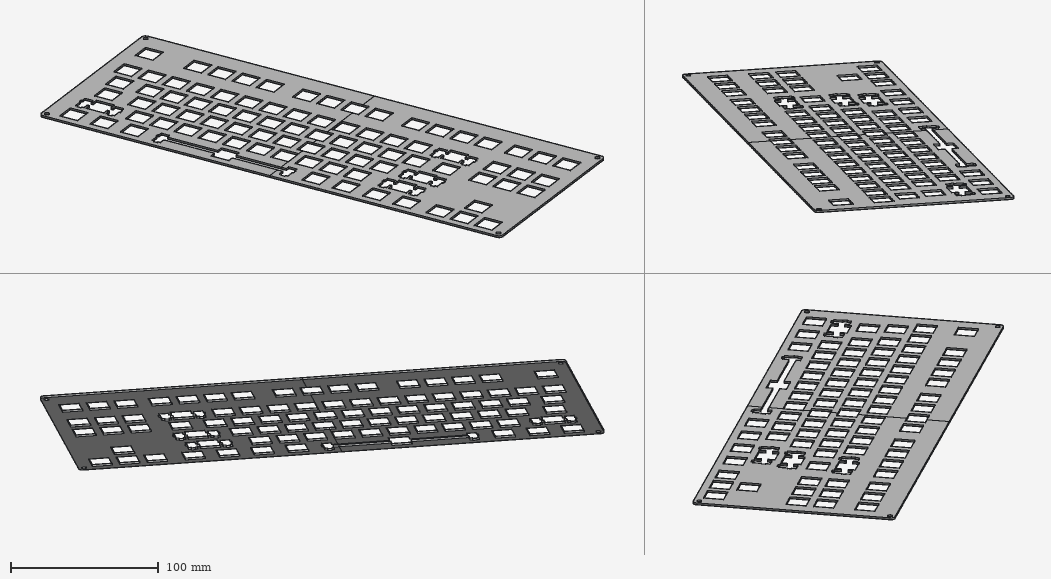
import cadquery as cq

length = 363.0
width = 139.8
thickness = 1.5
corner_radius = 3.0

hole_diameter = 3.3
hole_inset_left_top = 3.5
hole_inset_right_bottom = 4.0

first_to_last_column = 328.5
quarters_to_last_column = 69
quarter = first_to_last_column / quarters_to_last_column
key = 4
pitch = key * quarter
web = 5.0
switch_size = pitch - web
grid_shift_x = 0.2
bottom_margin = 3.0
grid_left = grid_shift_x - first_to_last_column / 2 - pitch / 2
last_row_y = -width / 2 + bottom_margin + pitch / 2

stab_offset = 12.0
space_stab_offset = 50.0
stab_width = 6.5
stab_top = 5.5
stab_bottom = 7.0
foot_width = 3.0
foot_depth = 1.2
ear_depth = 0.87
ear_top = 2.3
ear_bottom = 0.5
wire_slot_height = 4.7

tab = 6
caps_lock = 7
enter = 9
backspace = 8
left_shift = 9
right_shift = 11
modifier = 5
space_bar = 25
half_gap = -2
arrow_gap = -5
four_keys = [key] * 4
navigation = [-1, key, key, key]
function_row = [key, -key, *four_keys, half_gap, *four_keys, half_gap, *four_keys, *navigation]
number_row = [key] * 13 + [backspace] + navigation
upper_row = [tab] + [key] * 12 + [tab] + navigation
home_row = [caps_lock] + [key] * 11 + [enter]
lower_row = [left_shift] + [key] * 10 + [right_shift, arrow_gap, key]
space_row = [modifier] * 3 + [space_bar] + [modifier] * 4 + navigation

key_rows = [
    (5.5, function_row),
    (4, number_row),
    (3, upper_row),
    (2, home_row),
    (1, lower_row),
    (0, space_row),
]


def place_keys():
    """List of (x, y, cap width in quarters) for every key."""
    keys = []
    for row_height, caps in key_rows:
        left = grid_left
        for cap in caps:
            cap_width = abs(cap) * quarter
            if cap > 0:
                keys.append((left + cap_width / 2, last_row_y + row_height * pitch, cap))
            left += cap_width
    return keys


def through_box(x_min, x_max, y_min, y_max):
    """Rectangular block as thick as the plate."""
    return (
        cq.Workplane("XY")
        .box(x_max - x_min, y_max - y_min, thickness, centered=False)
        .translate((x_min, y_min, 0))
    )


def switch_cutters(keys):
    centres = [(x, y) for x, y, cap in keys]
    return (
        cq.Workplane("XY")
        .pushPoints(centres)
        .rect(switch_size, switch_size)
        .extrude(thickness)
    )


def stabilizer_cutter(x, y, offset):
    """Wire slot and two notched openings, mirrored about the key centre."""
    half_slot = wire_slot_height / 2
    cutter = through_box(x - offset, x + offset, y - half_slot, y + half_slot)
    half_width = stab_width / 2
    half_foot = foot_width / 2
    foot_end = y - stab_bottom - foot_depth
    for side in (-1, 1):
        middle = x + side * offset
        outer = middle + side * (half_width + ear_depth)
        cutter = (
            cutter
            .union(through_box(middle - half_width, middle + half_width, y - stab_bottom, y + stab_top))
            .union(through_box(middle - half_foot, middle + half_foot, foot_end, y))
            .union(through_box(min(middle, outer), max(middle, outer), y - ear_bottom, y + ear_top))
        )
    return cutter


def mounting_hole_cutters():
    left = -length / 2 + hole_inset_left_top
    right = length / 2 - hole_inset_right_bottom
    top = width / 2 - hole_inset_left_top
    bottom = -width / 2 + hole_inset_right_bottom
    return (
        cq.Workplane("XY")
        .pushPoints([(x, y) for x in (left, right) for y in (bottom, top)])
        .circle(hole_diameter / 2)
        .extrude(thickness)
    )


def whole_plate():
    keys = place_keys()
    plate = (
        cq.Workplane("XY")
        .rect(length, width)
        .extrude(thickness)
        .edges("|Z")
        .fillet(corner_radius)
        .cut(mounting_hole_cutters())
        .cut(switch_cutters(keys))
    )
    for x, y, cap in keys:
        if cap >= backspace:
            offset = space_stab_offset if cap == space_bar else stab_offset
            plate = plate.cut(stabilizer_cutter(x, y, offset))
    return plate


plate = whole_plate()
left_plate = plate.intersect(through_box(-length / 2, 0, -width / 2, width / 2))
right_plate = plate.intersect(through_box(0, length / 2, -width / 2, width / 2))

result = cq.Compound.makeCompound([left_plate.val(), right_plate.val()])